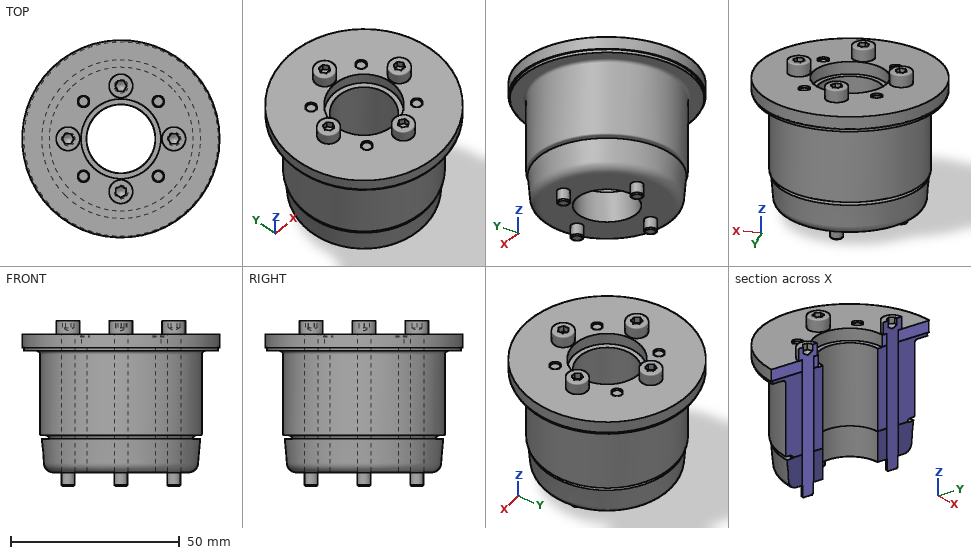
import cadquery as cq
import math


plate_diameter = 58.5
plate_thickness = 4.0
plate_bore_diameter = 23.6

rim_diameter = 57.5
rim_thickness = 1.0
sleeve_diameter = 48.0
rim_fillet = 1.0
sleeve_bottom_fillet = 0.5
neck_diameter = 42.6
neck_height = 1.0
housing_bore_diameter = 20.3

cap_top_diameter = 47.0
cap_height = 10.0
cap_taper_angle = 5.0
cap_bottom_fillet = 3.0

housing_top = -plate_thickness
sleeve_bottom = -30.0
housing_bottom = sleeve_bottom - neck_height
cap_bottom = housing_bottom - cap_height

pitch_radius = 15.65
screw_count = 4
screw_pitch_angle = 360.0 / screw_count

shank_diameter = 4.0
shank_length = 45.0
head_diameter = 7.0
head_height = 4.0
head_fillet = 0.4
tip_chamfer = 0.4
socket_width = 3.0
socket_depth = 2.0
socket_point_angle = 120.0

screw_turns = [0.0, 0.0, 0.0, 27.5]

dimple_diameter = 3.5
dimple_floor_diameter = 3.0
dimple_floor_depth = 0.5
dimple_chamfer = (dimple_diameter - dimple_floor_diameter) / 2


def pitch_point(angle):
    """Point on the pitch circle at an angle from the X axis."""
    turn = math.radians(angle)
    return (pitch_radius * math.cos(turn), pitch_radius * math.sin(turn))


screw_angles = [index * screw_pitch_angle for index in range(screw_count)]
screw_points = [pitch_point(angle) for angle in screw_angles]
dimple_points = [pitch_point(angle + screw_pitch_angle / 2) for angle in screw_angles]


def disc(diameter, bottom, top):
    """Upright cylinder on the Z axis between two levels."""
    return cq.Workplane("XY").workplane(offset=bottom).circle(diameter / 2).extrude(top - bottom)


def cut_screw_holes(body):
    """Cut the holes that the screw shanks fill."""
    shanks = (
        cq.Workplane("XY").workplane(offset=-shank_length)
        .pushPoints(screw_points).circle(shank_diameter / 2).extrude(shank_length)
    )
    return body.cut(shanks)


def make_dimple():
    """Tool that leaves a chamfered floor at the bottom of a round hole."""
    hole_radius = dimple_diameter / 2
    return (
        cq.Workplane("XZ")
        .lineTo(hole_radius, 0)
        .lineTo(hole_radius, -dimple_floor_depth - dimple_chamfer)
        .lineTo(dimple_floor_diameter / 2, -dimple_floor_depth)
        .lineTo(0, -dimple_floor_depth)
        .close().revolve()
    )


def make_plate():
    """Flat cover disc with the wide bore and the dimples."""
    plate = disc(plate_diameter, housing_top, 0)
    plate = plate.cut(disc(plate_bore_diameter, housing_top, 0))
    dimple = make_dimple()
    for x, y in dimple_points:
        plate = plate.cut(dimple.translate((x, y, 0)))
    return cut_screw_holes(plate)


def make_housing():
    """Revolved rim, sleeve and neck; the neck flares into the sleeve as a full-height fillet."""
    rim_bottom = housing_top - rim_thickness
    sleeve_radius = sleeve_diameter / 2
    neck_radius = neck_diameter / 2
    profile = (
        cq.Workplane("XZ")
        .moveTo(housing_bore_diameter / 2, housing_top)
        .lineTo(rim_diameter / 2, housing_top)
        .lineTo(rim_diameter / 2, rim_bottom)
        .lineTo(sleeve_radius + rim_fillet, rim_bottom)
        .radiusArc((sleeve_radius, rim_bottom - rim_fillet), -rim_fillet)
        .lineTo(sleeve_radius, sleeve_bottom + sleeve_bottom_fillet)
        .radiusArc((sleeve_radius - sleeve_bottom_fillet, sleeve_bottom), sleeve_bottom_fillet)
        .lineTo(neck_radius + neck_height, sleeve_bottom)
        .radiusArc((neck_radius, housing_bottom), -neck_height)
        .lineTo(housing_bore_diameter / 2, housing_bottom)
        .close()
    )
    return cut_screw_holes(profile.revolve())


def make_cap():
    """Tapered ring under the neck."""
    taper = cap_height * math.tan(math.radians(cap_taper_angle))
    cap = (
        cq.Workplane("XY").workplane(offset=housing_bottom).circle(cap_top_diameter / 2)
        .workplane(offset=-cap_height).circle(cap_top_diameter / 2 - taper)
        .loft(ruled=True)
        .faces("<Z").edges().fillet(cap_bottom_fillet)
    )
    cap = cap.cut(disc(housing_bore_diameter, cap_bottom, housing_bottom))
    return cut_screw_holes(cap)


def make_socket():
    """Hexagonal recess whose floor is a shallow cone pointing down."""
    corner_radius = socket_width / math.sqrt(3)
    point_depth = corner_radius / math.tan(math.radians(socket_point_angle / 2))
    shoulder = head_height - socket_depth
    hexagon = (
        cq.Workplane("XY").workplane(offset=head_height)
        .polygon(6, 2 * corner_radius).extrude(-socket_depth - point_depth)
    )
    drill = (
        cq.Workplane("XZ")
        .moveTo(0, head_height)
        .lineTo(corner_radius, head_height)
        .lineTo(corner_radius, shoulder)
        .lineTo(0, shoulder - point_depth)
        .close().revolve()
    )
    return hexagon.intersect(drill)


def make_screw():
    """Socket head screw on the Z axis, its head resting on Z = 0."""
    head = disc(head_diameter, 0, head_height).faces(">Z").edges().fillet(head_fillet)
    shank = disc(shank_diameter, -shank_length, 0).faces("<Z").chamfer(tip_chamfer)
    return head.union(shank).cut(make_socket())


plate = make_plate()
housing = make_housing()
cap = make_cap()

screw = make_screw()
screws = [
    screw.rotate((0, 0, 0), (0, 0, 1), turn).translate((x, y, 0))
    for turn, (x, y) in zip(screw_turns, screw_points)
]

result = cq.Compound.makeCompound(
    [plate.val(), housing.val(), cap.val(), *[placed.val() for placed in screws]]
)